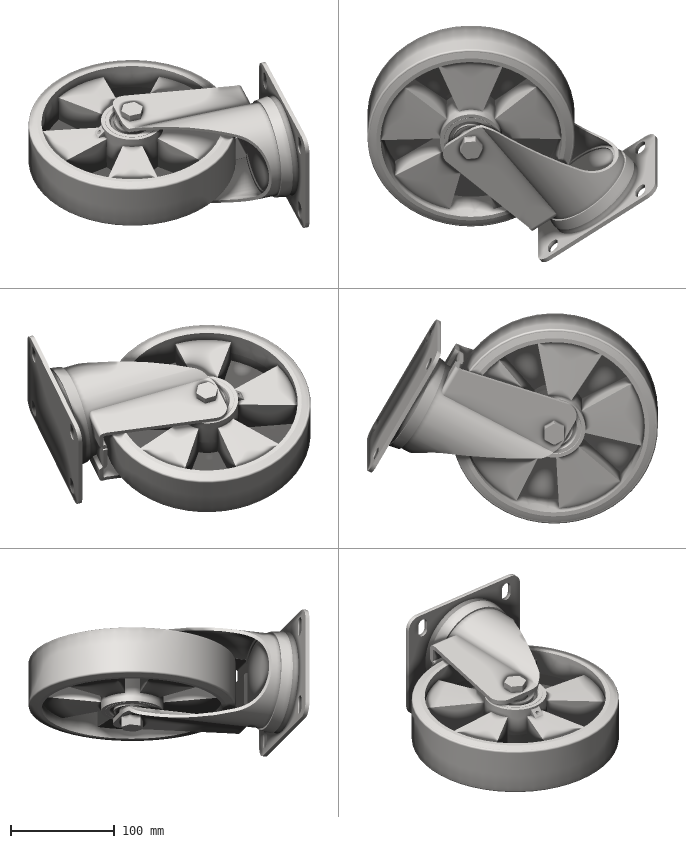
import cadquery as cq
import math


WHEEL_RADIUS = 200.0 / 2
TREAD_HALF_WIDTH = 25.0
TREAD_INNER_RADIUS = 91.5
TREAD_SHOULDER_RADIUS = 98.0
TREAD_SHOULDER_Z = 23.3
TREAD_SIDE_Z = 21.4
RIM_BORE_RADIUS = 86.5
RIM_MOUTH_RADIUS = 87.4
HUB_RADIUS = 30.0
HUB_MIDDLE_RADIUS = 30.7
HUB_HALF_LENGTH = 27.8
WEB_HUB_Z = 19.2
WEB_RIM_Z = 15.4
WEB_THICKNESS = 3.5
POCKET_COUNT = 5
POCKET_ANGLE = 180 / POCKET_COUNT
WEB_WALL_ANGLE = 4.0

NIPPLE_WIDTH = 10.0
NIPPLE_TIP_Y = -37.0
NIPPLE_TIP_Z = 18.5
NIPPLE_RISE = 8.2
NIPPLE_DIMPLE_RADIUS = 2.2
NIPPLE_DIMPLE_SETBACK = 3.4

BEARING_RADIUS = 52.0 / 2
BEARING_WIDTH = 14.5
SHOULDER_RADIUS = 25.0 / 2
SEAT_CHAMFER = 0.35
GROOVE_DEPTH = 3.0
GROOVE_INNER_RADIUS = 35.5 / 2
GROOVE_OUTER_FLOOR_RADIUS = 41.3 / 2
GROOVE_OUTER_TOP_RADIUS = 44.5 / 2
DISH_RADIUS = 32.6 / 2
DISH_DEPTH = 1.5

PLATE_LENGTH = 140.0
PLATE_WIDTH = 110.0
PLATE_THICKNESS = 4.0
PLATE_CORNER_RADIUS = 12.0
PLATE_BACK_Y = 240 - WHEEL_RADIUS
PLATE_FRONT_Y = PLATE_BACK_Y - PLATE_THICKNESS
PLATE_END_X = 120.0
SWIVEL_X = PLATE_END_X - PLATE_LENGTH / 2
SLOT_WIDTH = 11.0
SLOT_LENGTH = 18.5
SLOT_SPACING_X = 105.0
SLOT_SPACING_Z = 80.0
NECK_FLARE_RADIUS = 49.2
NECK_RADIUS = 47.5
NECK_SAG = 0.35

SHEET = 4.3
SHEET_INNER_BEND = 1.5
ARM_INNER_Z = 30.5
ARM_OUTER_Z = ARM_INNER_Z + SHEET
ARM_EDGE_X = -10.8
ARM_EDGE_BOTTOM_Y = 107.5
ARM_BOTTOM_Y = -13.0
ARM_LEFT_CORNER_X = -17.8
ARM_LEFT_RADIUS = 12.7
ARM_RIGHT_CORNER_X = 7.7
ARM_RIGHT_RADIUS = 25.7
ARM_LEFT_SLANT = 10.5
SHELL_SLANT = 25.5
SHELL_ARC_START_Y = 82.5
SHELL_LIP_Y = 109.7
SHELL_RADIUS = 92.0 / 2
SHELL_INNER_RADIUS = 86.0 / 2
CAP_RADIUS = 80.0 / 2
CAP_Y = 109.2
WEB_BOTTOM_Y = 107.0
WEB_TOP_Y = WEB_BOTTOM_Y + SHEET
BUMP_HEIGHT = 3.5
BUMP_FOOT_Z = 14.6
BUMP_TOP_Z = 17.3
TONGUE_X = -12.2
TONGUE_HALF_WIDTH = 11.8
RING_BOTTOM_Y = 119.0
RING_TOP_Y = 130.0
RING_BOTTOM_RADIUS = 47.8
RING_TOP_RADIUS = 49.5

BOLT_DIAMETER = 12.0
HEX_FLATS = 19.0
HEX_CHAMFER_DIAMETER = 21.0
HEX_CHAMFER_HEIGHT = 0.5
HEAD_HEIGHT = 7.2
NUT_HEIGHT = 10.0
HEX_CORNER_DIAMETER = HEX_FLATS / math.cos(math.radians(30))


def revolve_about_axle(points, angle=360):
    """Revolve a closed (radius, z) outline about the wheel axle."""
    return cq.Workplane("XZ").polyline(points).close().revolve(angle, (0, 0, 0), (0, 1, 0))


def cylinder_along_y(radius, y_start, y_end):
    """Cylinder on the swivel axis."""
    plane = cq.Plane(origin=(SWIVEL_X, y_start, 0), xDir=(1, 0, 0), normal=(0, 1, 0))
    return cq.Workplane(plane).circle(radius).extrude(y_end - y_start)


def make_tread():
    """Tyre with a sloping side face and a rounded shoulder on each edge."""
    shoulder_arc_middle = (WHEEL_RADIUS - 0.6, (TREAD_SIDE_Z + TREAD_SHOULDER_Z) / 2 + 0.5)
    shoulder_arc_middle_low = (shoulder_arc_middle[0], -shoulder_arc_middle[1])
    return (
        cq.Workplane("XZ")
        .moveTo(TREAD_INNER_RADIUS, -TREAD_HALF_WIDTH)
        .lineTo(TREAD_SHOULDER_RADIUS, -TREAD_SHOULDER_Z)
        .threePointArc(shoulder_arc_middle_low, (WHEEL_RADIUS, -TREAD_SIDE_Z))
        .lineTo(WHEEL_RADIUS, TREAD_SIDE_Z)
        .threePointArc(shoulder_arc_middle, (TREAD_SHOULDER_RADIUS, TREAD_SHOULDER_Z))
        .lineTo(TREAD_INNER_RADIUS, TREAD_HALF_WIDTH)
        .close()
        .revolve(360, (0, 0, 0), (0, 1, 0))
    )


def web_height_at(radius):
    """Height of the sloping web face above the mid-plane."""
    slope = (WEB_RIM_Z - WEB_HUB_Z) / (RIM_BORE_RADIUS - HUB_MIDDLE_RADIUS)
    return WEB_HUB_Z + slope * (radius - HUB_MIDDLE_RADIUS)


def make_web_pocket(angle):
    """Sector cutter centred on +X that opens upward and leaves a floor one web thickness thick."""
    return revolve_about_axle(
        [
            (BEARING_RADIUS, WEB_THICKNESS - web_height_at(BEARING_RADIUS)),
            (TREAD_INNER_RADIUS, WEB_THICKNESS - web_height_at(TREAD_INNER_RADIUS)),
            (TREAD_INNER_RADIUS, TREAD_HALF_WIDTH),
            (BEARING_RADIUS, TREAD_HALF_WIDTH),
        ],
        angle,
    ).rotate((0, 0, 0), (0, 0, 1), -angle / 2)


def make_web():
    """Zigzag web with pockets that open to alternate sides."""
    outer_radius = (RIM_BORE_RADIUS + TREAD_INNER_RADIUS) / 2
    web = revolve_about_axle(
        [
            (0, -web_height_at(0)),
            (outer_radius, -web_height_at(outer_radius)),
            (outer_radius, web_height_at(outer_radius)),
            (0, web_height_at(0)),
        ]
    )
    upper_pocket = make_web_pocket(POCKET_ANGLE)
    lower_pocket = make_web_pocket(POCKET_ANGLE - 2 * WEB_WALL_ANGLE).rotate((0, 0, 0), (1, 0, 0), 180)
    for i in range(POCKET_COUNT):
        upper_centre = 90 + i * 360 / POCKET_COUNT
        web = web.cut(upper_pocket.rotate((0, 0, 0), (0, 0, 1), upper_centre))
        web = web.cut(lower_pocket.rotate((0, 0, 0), (0, 0, 1), upper_centre + POCKET_ANGLE))
    return web


def make_rim():
    """Rim ring whose bore opens out from the mid-plane to both mouths."""
    return revolve_about_axle(
        [
            (TREAD_INNER_RADIUS, -TREAD_HALF_WIDTH),
            (TREAD_INNER_RADIUS, TREAD_HALF_WIDTH),
            (RIM_MOUTH_RADIUS, TREAD_HALF_WIDTH),
            (RIM_BORE_RADIUS, 0),
            (RIM_MOUTH_RADIUS, -TREAD_HALF_WIDTH),
        ]
    )


def make_hub():
    """Solid hub that tapers from its middle to both ends."""
    return revolve_about_axle(
        [
            (0, -HUB_HALF_LENGTH),
            (HUB_RADIUS, -HUB_HALF_LENGTH),
            (HUB_MIDDLE_RADIUS, 0),
            (HUB_RADIUS, HUB_HALF_LENGTH),
            (0, HUB_HALF_LENGTH),
        ]
    )


def make_nipple_block():
    """Block on the hub with a sloping face and a round dimple in that face."""
    root_y = NIPPLE_TIP_Y + NIPPLE_RISE
    base_z = WEB_RIM_Z
    block = (
        cq.Workplane("YZ")
        .polyline(
            [
                (root_y, base_z),
                (NIPPLE_TIP_Y, base_z),
                (NIPPLE_TIP_Y, NIPPLE_TIP_Z),
                (root_y, NIPPLE_TIP_Z + NIPPLE_RISE),
            ]
        )
        .close()
        .extrude(NIPPLE_WIDTH / 2, both=True)
    )
    dimple_centre = (0, NIPPLE_TIP_Y + NIPPLE_DIMPLE_SETBACK, NIPPLE_TIP_Z + NIPPLE_DIMPLE_SETBACK)
    dimple = cq.Workplane("XY").sphere(NIPPLE_DIMPLE_RADIUS).translate(dimple_centre)
    return block.cut(dimple)


def make_wheel_centre():
    """Hub, web, rim and grease nipple block in one piece, with bearing seats and a bolt hole."""
    body = make_web().union(make_rim()).union(make_hub()).union(make_nipple_block())

    seat_depth_z = HUB_HALF_LENGTH - BEARING_WIDTH
    seat = revolve_about_axle(
        [
            (0, seat_depth_z),
            (BEARING_RADIUS, seat_depth_z),
            (BEARING_RADIUS, HUB_HALF_LENGTH - SEAT_CHAMFER),
            (BEARING_RADIUS + SEAT_CHAMFER, HUB_HALF_LENGTH),
            (0, HUB_HALF_LENGTH),
        ]
    )
    bolt_hole = cq.Workplane("XY").circle(BOLT_DIAMETER / 2).extrude(HUB_HALF_LENGTH, both=True)
    return body.cut(seat).cut(seat.mirror("XY")).cut(bolt_hole)


def make_bearing():
    """Upper bearing: a groove round a shallow dish, and a shoulder that reaches the fork arm."""
    bore_radius = BOLT_DIAMETER / 2
    groove_floor_z = HUB_HALF_LENGTH - GROOVE_DEPTH
    return revolve_about_axle(
        [
            (bore_radius, HUB_HALF_LENGTH - BEARING_WIDTH),
            (BEARING_RADIUS, HUB_HALF_LENGTH - BEARING_WIDTH),
            (BEARING_RADIUS, HUB_HALF_LENGTH),
            (GROOVE_OUTER_TOP_RADIUS, HUB_HALF_LENGTH),
            (GROOVE_OUTER_FLOOR_RADIUS, groove_floor_z),
            (GROOVE_INNER_RADIUS, groove_floor_z),
            (GROOVE_INNER_RADIUS, HUB_HALF_LENGTH),
            (DISH_RADIUS, HUB_HALF_LENGTH - DISH_DEPTH),
            (SHOULDER_RADIUS, HUB_HALF_LENGTH - DISH_DEPTH),
            (SHOULDER_RADIUS, ARM_INNER_Z),
            (bore_radius, ARM_INNER_Z),
        ]
    )


def fork_side_outline():
    """Side outline of the fork in XY, from the arm ends up to the swivel ring."""
    left_angle = math.radians(ARM_LEFT_SLANT)
    left_centre_y = ARM_BOTTOM_Y + ARM_LEFT_RADIUS
    left_tangent = (
        ARM_LEFT_CORNER_X - ARM_LEFT_RADIUS * math.cos(left_angle),
        left_centre_y + ARM_LEFT_RADIUS * math.sin(left_angle),
    )
    right_angle = math.radians(SHELL_SLANT)
    right_tangent = (
        ARM_RIGHT_CORNER_X + ARM_RIGHT_RADIUS * math.cos(right_angle),
        ARM_BOTTOM_Y + ARM_RIGHT_RADIUS * (1 - math.sin(right_angle)),
    )
    arc_start_x = right_tangent[0] + (SHELL_ARC_START_Y - right_tangent[1]) * math.tan(right_angle)
    shell_right_x = SWIVEL_X + SHELL_RADIUS
    return (
        cq.Workplane("XY")
        .moveTo(ARM_EDGE_X, RING_BOTTOM_Y)
        .lineTo(ARM_EDGE_X, ARM_EDGE_BOTTOM_Y)
        .lineTo(*left_tangent)
        .tangentArcPoint((ARM_LEFT_CORNER_X, ARM_BOTTOM_Y), relative=False)
        .lineTo(ARM_RIGHT_CORNER_X, ARM_BOTTOM_Y)
        .tangentArcPoint(right_tangent, relative=False)
        .lineTo(arc_start_x, SHELL_ARC_START_Y)
        .tangentArcPoint((shell_right_x, SHELL_LIP_Y), relative=False)
        .lineTo(shell_right_x, RING_BOTTOM_Y)
        .close()
    )


def sheet_inside(x_start, x_end):
    """Space enclosed by the folded sheet: between the arms and below the web."""
    bump_bottom_y = WEB_BOTTOM_Y + BUMP_HEIGHT
    return (
        cq.Workplane(cq.Plane(origin=(x_start, 0, 0), xDir=(0, 0, -1), normal=(1, 0, 0)))
        .moveTo(-ARM_INNER_Z, ARM_BOTTOM_Y)
        .lineTo(-ARM_INNER_Z, bump_bottom_y - SHEET_INNER_BEND)
        .radiusArc((SHEET_INNER_BEND - ARM_INNER_Z, bump_bottom_y), SHEET_INNER_BEND)
        .lineTo(-BUMP_TOP_Z, bump_bottom_y)
        .radiusArc((-BUMP_FOOT_Z, WEB_BOTTOM_Y), -BUMP_HEIGHT)
        .lineTo(BUMP_FOOT_Z, WEB_BOTTOM_Y)
        .radiusArc((BUMP_TOP_Z, bump_bottom_y), -BUMP_HEIGHT)
        .lineTo(ARM_INNER_Z - SHEET_INNER_BEND, bump_bottom_y)
        .radiusArc((ARM_INNER_Z, bump_bottom_y - SHEET_INNER_BEND), SHEET_INNER_BEND)
        .lineTo(ARM_INNER_Z, ARM_BOTTOM_Y)
        .close()
        .extrude(x_end - x_start)
    )


def sheet_envelope(x_start, x_end):
    """Outer shape of the folded sheet: rounded shoulders and a raised bump along each side of the web."""
    bump_top_y = WEB_TOP_Y + BUMP_HEIGHT
    return (
        cq.Workplane(cq.Plane(origin=(x_start, 0, 0), xDir=(0, 0, -1), normal=(1, 0, 0)))
        .moveTo(-ARM_OUTER_Z, ARM_BOTTOM_Y)
        .lineTo(-ARM_OUTER_Z, bump_top_y - SHEET)
        .radiusArc((SHEET - ARM_OUTER_Z, bump_top_y), SHEET)
        .lineTo(-BUMP_TOP_Z, bump_top_y)
        .lineTo(-BUMP_FOOT_Z, WEB_TOP_Y)
        .lineTo(BUMP_FOOT_Z, WEB_TOP_Y)
        .lineTo(BUMP_TOP_Z, bump_top_y)
        .lineTo(ARM_OUTER_Z - SHEET, bump_top_y)
        .radiusArc((ARM_OUTER_Z, bump_top_y - SHEET), SHEET)
        .lineTo(ARM_OUTER_Z, ARM_BOTTOM_Y)
        .close()
        .extrude(x_end - x_start)
    )


def make_fork():
    """Folded sheet arms and web joined to a round shell under the swivel ring."""
    fold_x = SWIVEL_X - math.sqrt(SHELL_RADIUS**2 - ARM_OUTER_Z**2)
    sheet_start_x = ARM_LEFT_CORNER_X - ARM_LEFT_RADIUS - 2.5

    shell_cavity = cylinder_along_y(SHELL_INNER_RADIUS, ARM_BOTTOM_Y, CAP_Y).union(
        cylinder_along_y(CAP_RADIUS, CAP_Y, WEB_BOTTOM_Y + BUMP_HEIGHT)
    )
    shell = cylinder_along_y(SHELL_RADIUS, ARM_BOTTOM_Y, RING_BOTTOM_Y).cut(shell_cavity)
    body = shell.union(sheet_envelope(sheet_start_x, fold_x))
    body = body.cut(sheet_inside(sheet_start_x, fold_x))
    body = body.intersect(fork_side_outline().extrude(ARM_OUTER_Z + SHELL_RADIUS, both=True))

    tongue = cq.Workplane("XY").box(
        ARM_EDGE_X - TONGUE_X, SHEET, 2 * TONGUE_HALF_WIDTH, centered=(False, False, True)
    )
    body = body.union(tongue.translate((TONGUE_X, WEB_BOTTOM_Y, 0)))

    ring = (
        cq.Workplane("XY")
        .polyline(
            [
                (0, RING_BOTTOM_Y),
                (RING_BOTTOM_RADIUS, RING_BOTTOM_Y),
                (RING_TOP_RADIUS, RING_TOP_Y),
                (0, RING_TOP_Y),
            ]
        )
        .close()
        .revolve(360, (0, 0, 0), (0, 1, 0))
        .translate((SWIVEL_X, 0, 0))
    )
    bolt_holes = cq.Workplane("XY").circle(BOLT_DIAMETER / 2).extrude(ARM_OUTER_Z, both=True)
    return body.union(ring).cut(bolt_holes)


def make_top_plate():
    """Slotted mounting plate with a flared neck that rests on the swivel ring."""
    plane = cq.Plane(origin=(SWIVEL_X, PLATE_FRONT_Y, 0), xDir=(1, 0, 0), normal=(0, 1, 0))
    plate = (
        cq.Workplane(plane)
        .rect(PLATE_LENGTH, PLATE_WIDTH)
        .extrude(PLATE_THICKNESS)
        .edges("|Y")
        .fillet(PLATE_CORNER_RADIUS)
    )
    slots = (
        cq.Workplane(plane)
        .rect(SLOT_SPACING_X, SLOT_SPACING_Z, forConstruction=True)
        .vertices()
        .slot2D(SLOT_LENGTH, SLOT_WIDTH, 90)
        .extrude(PLATE_THICKNESS)
    )
    neck_middle = ((NECK_FLARE_RADIUS + NECK_RADIUS) / 2 - NECK_SAG, (PLATE_FRONT_Y + RING_TOP_Y) / 2)
    neck = (
        cq.Workplane("XY")
        .moveTo(0, RING_TOP_Y)
        .lineTo(NECK_RADIUS, RING_TOP_Y)
        .threePointArc(neck_middle, (NECK_FLARE_RADIUS, PLATE_FRONT_Y))
        .lineTo(0, PLATE_FRONT_Y)
        .close()
        .revolve(360, (0, 0, 0), (0, 1, 0))
        .translate((SWIVEL_X, 0, 0))
    )
    return plate.cut(slots).union(neck)


def make_hexagon(height):
    """Hexagonal block on the XY plane with its corners along Y and its upper corners chamfered."""
    block = cq.Workplane("XY").polygon(6, HEX_CORNER_DIAMETER).extrude(height)
    block = block.rotate((0, 0, 0), (0, 0, 1), 90)
    corner_cone = revolve_about_axle(
        [
            (0, 0),
            (HEX_CORNER_DIAMETER / 2, 0),
            (HEX_CORNER_DIAMETER / 2, height - HEX_CHAMFER_HEIGHT),
            (HEX_CHAMFER_DIAMETER / 2, height),
            (0, height),
        ]
    )
    return block.intersect(corner_cone)


def make_bolt():
    """Hexagon head above the upper arm and a shank that ends flush with the nut."""
    head = make_hexagon(HEAD_HEIGHT).translate((0, 0, ARM_OUTER_Z))
    shank_length = 2 * ARM_OUTER_Z + NUT_HEIGHT
    shank = cq.Workplane("XY").workplane(offset=ARM_OUTER_Z).circle(BOLT_DIAMETER / 2).extrude(-shank_length)
    return head.union(shank)


def make_nut():
    """Hexagon nut below the lower arm."""
    thread_hole = cq.Workplane("XY").circle(BOLT_DIAMETER / 2).extrude(NUT_HEIGHT)
    nut = make_hexagon(NUT_HEIGHT).cut(thread_hole)
    return nut.rotate((0, 0, 0), (1, 0, 0), 180).translate((0, 0, -ARM_OUTER_Z))


top_plate = make_top_plate()
fork = make_fork()
tread = make_tread()
wheel_centre = make_wheel_centre()
bolt = make_bolt()
nut = make_nut()
bearings = []
for flip_angle in (0, 180):
    bearings.append(make_bearing().rotate((0, 0, 0), (1, 0, 0), flip_angle))

result = cq.Compound.makeCompound(
    [
        top_plate.val(),
        fork.val(),
        tread.val(),
        wheel_centre.val(),
        *[bearing.val() for bearing in bearings],
        bolt.val(),
        nut.val(),
    ]
)